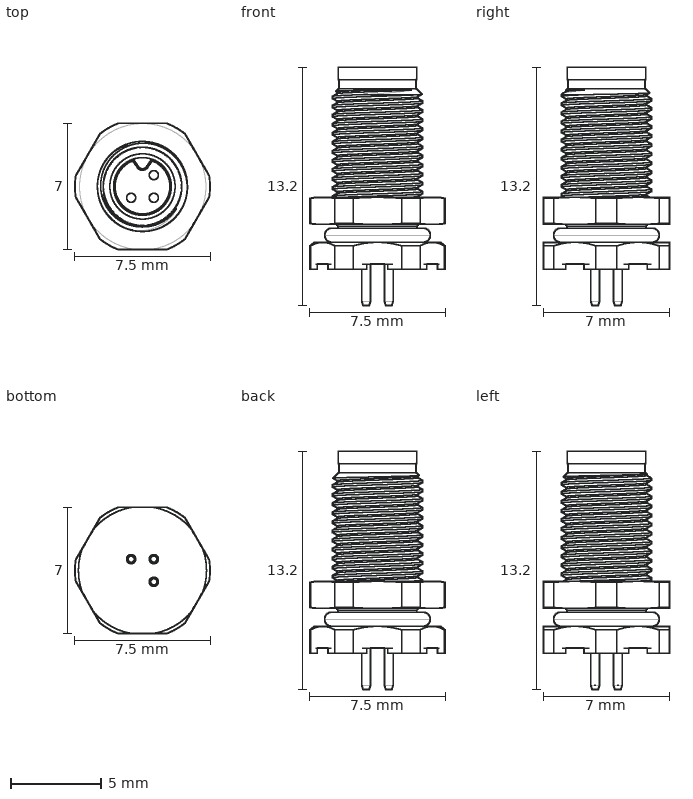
import cadquery as cq
import math

ACROSS_FLATS = 7.0
CORNER_RADIUS = 3.75
FLATS = 6

BASE_HEIGHT = 1.5
BASE_CHAMFER_HEIGHT = 0.2
SKIRT_DEPTH = 0.29
SKIRT_OPENING_WIDTH = 1.16

NUT_BOTTOM = 2.5
NUT_HEIGHT = 1.49
NUT_CHAMFER_HEIGHT = 0.05
NUT_TOP = NUT_BOTTOM + NUT_HEIGHT

SEAL_SECTION_RADIUS = 0.4
SEAL_OUTER_RADIUS = 2.93
SEAL_SQUEEZE = 0.007

LOWER_NECK_RADIUS = 2.19
LOWER_NECK_TOP = 2.4
UPPER_NECK_RADIUS = 2.14
UPPER_NECK_HEIGHT = 0.51
COLLAR_RADIUS = 2.18
COLLAR_HEIGHT = 0.69
SLEEVE_TOP = 11.2
COLLAR_BOTTOM = SLEEVE_TOP - COLLAR_HEIGHT
THREAD_TOP = COLLAR_BOTTOM - UPPER_NECK_HEIGHT

THREAD_RADIUS = 2.5
THREAD_ROOT_RADIUS = 2.25
THREAD_PITCH = 0.5
THREAD_ROOT_WIDTH = 0.09
THREAD_FLANK_ANGLE = 30
THREAD_GROOVE_START = 3.0
THREAD_OVERRUN = 0.07

SOCKET_MOUTH_RADIUS = 1.81
SOCKET_RADIUS = 1.6
SOCKET_FLOOR_CHAMFER = 0.08
SOCKET_DEPTH = 3.96
KEY_TIP_Y = 0.98
KEY_TIP_RADIUS = 0.26
KEY_SIDE_ANGLE = 55

PIN_RADIUS = 0.25
PIN_SPACING = 1.25
PIN_SIDES = [(1, 1), (1, -1), (-1, -1)]
PIN_BOTTOM = -2.0
PIN_TIP_RADIUS = 0.17
PIN_TIP_HEIGHT = 0.25
PIN_DOME_DEPTH = 1.53


def revolve_profile(points):
    """Solid of revolution about Z from (radius, z) points."""
    return cq.Workplane("XZ").polyline(points).close().revolve(360, (0, 0, 0), (0, 1, 0))


def rounded_hexagon(bottom, height, bottom_chamfer, top_chamfer):
    """Hexagon with turned corners; its conical chamfers start at the inscribed circle."""
    top = bottom + height
    inscribed = ACROSS_FLATS / 2
    profile = [(0, bottom)]
    if bottom_chamfer:
        profile += [(inscribed, bottom)]
    profile += [
        (CORNER_RADIUS, bottom + bottom_chamfer),
        (CORNER_RADIUS, top - top_chamfer),
        (inscribed, top),
        (0, top),
    ]
    across_corners = ACROSS_FLATS / math.cos(math.pi / FLATS)
    prism = cq.Workplane("XY").workplane(offset=bottom).polygon(FLATS, across_corners).extrude(height)
    return prism.intersect(revolve_profile(profile))


def make_base():
    """Hexagonal base; its round recess breaks through each flat and leaves a skirt at the corners."""
    recess_radius = math.hypot(ACROSS_FLATS / 2, SKIRT_OPENING_WIDTH / 2)
    recess = cq.Workplane("XY").circle(recess_radius).extrude(SKIRT_DEPTH)
    return rounded_hexagon(0, BASE_HEIGHT, 0, BASE_CHAMFER_HEIGHT).cut(recess)


def make_seal():
    center_radius = SEAL_OUTER_RADIUS - SEAL_SECTION_RADIUS
    center_z = BASE_HEIGHT + SEAL_SECTION_RADIUS - SEAL_SQUEEZE
    section = cq.Workplane("XZ").center(center_radius, center_z).circle(SEAL_SECTION_RADIUS)
    return section.revolve(360, (-center_radius, 0, 0), (-center_radius, 1, 0))


def make_thread_groove():
    """Helical V groove from the top of the nut that runs out past the top of the thread."""
    outer = THREAD_RADIUS + THREAD_OVERRUN
    flank = (outer - THREAD_ROOT_RADIUS) * math.tan(math.radians(THREAD_FLANK_ANGLE))
    half_root = THREAD_ROOT_WIDTH / 2
    length = THREAD_TOP + THREAD_PITCH - THREAD_GROOVE_START
    helix = cq.Wire.makeHelix(THREAD_PITCH, length, THREAD_ROOT_RADIUS, cq.Vector(0, 0, THREAD_GROOVE_START))
    profile = [
        (THREAD_ROOT_RADIUS, THREAD_GROOVE_START - half_root),
        (outer, THREAD_GROOVE_START - half_root - flank),
        (outer, THREAD_GROOVE_START + half_root + flank),
        (THREAD_ROOT_RADIUS, THREAD_GROOVE_START + half_root),
    ]
    section = cq.Workplane("XZ").polyline(profile).close()
    groove = section.sweep(cq.Workplane(helix), isFrenet=True)
    above_nut = cq.Workplane("XY").workplane(offset=NUT_TOP).circle(CORNER_RADIUS).extrude(SLEEVE_TOP)
    return groove.intersect(above_nut)


def make_sleeve():
    """Threaded shank on a plain lower neck, with its nut, carrying the upper neck and collar."""
    shank = revolve_profile([
        (0, SKIRT_DEPTH),
        (LOWER_NECK_RADIUS, SKIRT_DEPTH),
        (LOWER_NECK_RADIUS, LOWER_NECK_TOP),
        (THREAD_RADIUS, LOWER_NECK_TOP + THREAD_RADIUS - LOWER_NECK_RADIUS),
        (THREAD_RADIUS, THREAD_TOP - THREAD_RADIUS + COLLAR_RADIUS),
        (COLLAR_RADIUS, THREAD_TOP),
        (0, THREAD_TOP),
    ])
    head = revolve_profile([
        (0, NUT_TOP),
        (UPPER_NECK_RADIUS, NUT_TOP),
        (UPPER_NECK_RADIUS, COLLAR_BOTTOM),
        (COLLAR_RADIUS, COLLAR_BOTTOM),
        (COLLAR_RADIUS, SLEEVE_TOP),
        (0, SLEEVE_TOP),
    ])
    nut = rounded_hexagon(NUT_BOTTOM, NUT_HEIGHT, NUT_CHAMFER_HEIGHT, NUT_CHAMFER_HEIGHT)
    return shank.union(nut).cut(make_thread_groove()).union(head)


def make_key():
    """V-shaped key with a rounded tip reaching from the socket floor to the mouth chamfer."""
    angle = math.radians(KEY_SIDE_ANGLE)
    tangent_x = KEY_TIP_RADIUS * math.sin(angle)
    tangent_y = KEY_TIP_Y + KEY_TIP_RADIUS * (1 - math.cos(angle))
    root_y = (SOCKET_RADIUS + COLLAR_RADIUS) / 2
    root_x = tangent_x + (root_y - tangent_y) / math.tan(angle)
    key_height = SOCKET_DEPTH - (SOCKET_MOUTH_RADIUS - SOCKET_RADIUS)
    return (
        cq.Workplane("XY", origin=(0, 0, SLEEVE_TOP - SOCKET_DEPTH))
        .moveTo(-root_x, root_y)
        .lineTo(-tangent_x, tangent_y)
        .threePointArc((0, KEY_TIP_Y), (tangent_x, tangent_y))
        .lineTo(root_x, root_y)
        .close()
        .extrude(key_height)
    )


def make_socket():
    """Cavity with a chamfered mouth, less the key, with a chamfer all round its floor."""
    cavity = revolve_profile([
        (0, SLEEVE_TOP - SOCKET_DEPTH),
        (SOCKET_RADIUS, SLEEVE_TOP - SOCKET_DEPTH),
        (SOCKET_RADIUS, SLEEVE_TOP - SOCKET_MOUTH_RADIUS + SOCKET_RADIUS),
        (SOCKET_MOUTH_RADIUS, SLEEVE_TOP),
        (0, SLEEVE_TOP),
    ])
    return cavity.cut(make_key()).faces("<Z").chamfer(SOCKET_FLOOR_CHAMFER)


def make_pin():
    """Pin through the whole body: tapered solder tip below, domed contact above."""
    dome_top = SLEEVE_TOP - PIN_DOME_DEPTH
    dome_arc = PIN_RADIUS * math.sqrt(0.5)
    return (
        cq.Workplane("XZ")
        .moveTo(0, PIN_BOTTOM)
        .lineTo(PIN_TIP_RADIUS, PIN_BOTTOM)
        .lineTo(PIN_RADIUS, PIN_BOTTOM + PIN_TIP_HEIGHT)
        .lineTo(PIN_RADIUS, dome_top - PIN_RADIUS)
        .threePointArc((dome_arc, dome_top - PIN_RADIUS + dome_arc), (0, dome_top))
        .close()
        .revolve(360, (0, 0, 0), (0, 1, 0))
    )


result = make_sleeve().union(make_base()).union(make_seal()).cut(make_socket())
for side_x, side_y in PIN_SIDES:
    result = result.union(make_pin().translate((side_x * PIN_SPACING / 2, side_y * PIN_SPACING / 2, 0)))